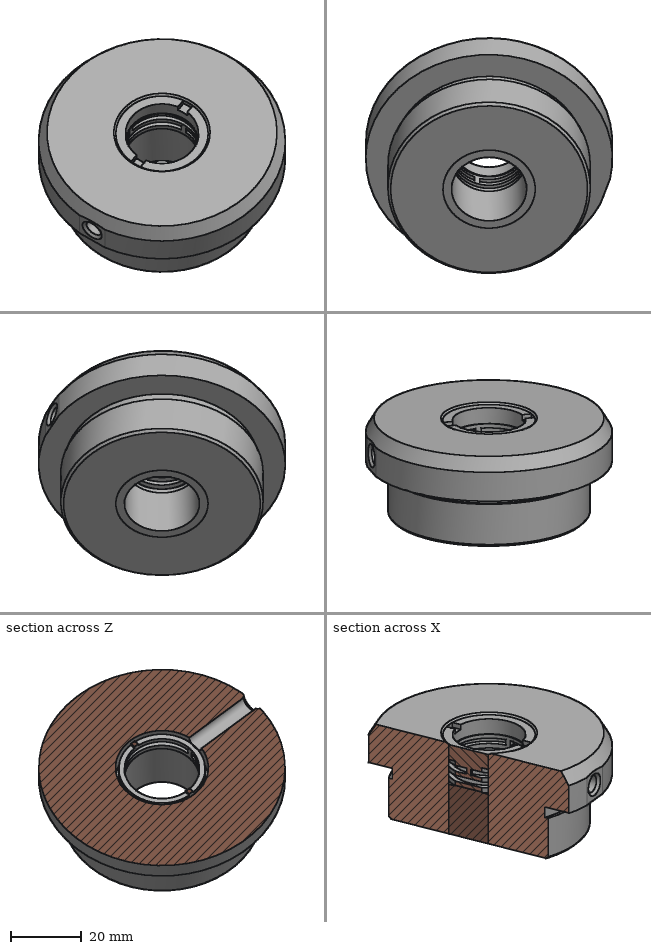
import cadquery as cq

total_height = 28.6
flange_radius = 34.9
flange_thickness = 12.6
flange_top_radius = 32.5
flange_chamfer_height = 4.0
neck_radius = 27.6
neck_height = 3.15
spigot_radius = 28.6
spigot_chamfer = 0.8
flat_distance = 34.6

seat_radius = 13.05
seat_chamfer = 0.55

access_radius = 2.5
access_mouth_radius = 3.35
access_depth_below_top = 7.9

collar_bore_radius = 10.3
collar_height = 4.8
spring_nut_height = 12.4
spring_outer_radius = 12.2
spring_bore_radius = 10.6
slit_height = 1.7
slit_spacing = 3.1
first_slit_depth = 6.15
bridge_width = 1.5
key_slot_width = 3.2
key_slot_depth = 1.5

flange_bottom = total_height - flange_thickness
spigot_top = flange_bottom - neck_height
nut_top = total_height - seat_chamfer
nut_bottom = nut_top - spring_nut_height
collar_bottom = nut_top - collar_height


def cylinder(radius, bottom, top):
    return cq.Workplane("XY").workplane(offset=bottom).circle(radius).extrude(top - bottom)


def tube(outer_radius, inner_radius, bottom, top):
    return cylinder(outer_radius, bottom, top).cut(cylinder(inner_radius, bottom, top))


def cross_bar(width, bottom, height, along_x):
    """A bar across the whole bore, along X or Y."""
    length = 2 * seat_radius
    size_x, size_y = (length, width) if along_x else (width, length)
    return cq.Workplane("XY").box(size_x, size_y, height, centered=(True, True, False)).translate((0, 0, bottom))


def make_access_hole():
    """Radial hole from the flat into the seat bore, with a 45 degree countersink."""
    height = total_height - access_depth_below_top
    countersink = access_mouth_radius - access_radius
    profile = [
        (0, -flat_distance),
        (access_mouth_radius, -flat_distance),
        (access_radius, -flat_distance + countersink),
        (access_radius, 0),
        (0, 0),
    ]
    hole = cq.Workplane("XY").polyline(profile).close().revolve(360, (0, 0, 0), (0, 1, 0))
    return hole.translate((0, 0, height))


def make_housing():
    """Flanged housing with a neck groove, one flat and a chamfered through bore."""
    profile = [
        (seat_radius, 0),
        (spigot_radius - spigot_chamfer, 0),
        (spigot_radius, spigot_chamfer),
        (spigot_radius, spigot_top),
        (neck_radius, spigot_top),
        (neck_radius, flange_bottom),
        (flange_radius, flange_bottom),
        (flange_radius, total_height - flange_chamfer_height),
        (flange_top_radius, total_height),
        (seat_radius + seat_chamfer, total_height),
        (seat_radius, nut_top),
    ]
    body = cq.Workplane("XZ").polyline(profile).close().revolve(360, (0, 0, 0), (0, 1, 0))
    beyond_flat = cq.Workplane("XY").box(
        2 * flange_radius, flange_radius, total_height, centered=(True, False, False)
    ).translate((0, -flat_distance - flange_radius, 0))
    return body.cut(beyond_flat).cut(make_access_hole())


def make_spring_nut():
    """Collar with two key slots above a sleeve whose slits are bridged on alternate axes."""
    collar = tube(seat_radius, collar_bore_radius, collar_bottom, nut_top)
    sleeve = tube(spring_outer_radius, spring_bore_radius, nut_bottom, collar_bottom)
    nut = collar.union(sleeve)
    nut = nut.cut(cross_bar(key_slot_width, nut_top - key_slot_depth, key_slot_depth, along_x=False))
    for index, bridges_along_x in enumerate((True, False)):
        slit_top = nut_top - first_slit_depth - index * slit_spacing
        slit_bottom = slit_top - slit_height
        slit = cylinder(seat_radius, slit_bottom, slit_top)
        bridges = cross_bar(bridge_width, slit_bottom, slit_height, bridges_along_x)
        nut = nut.cut(slit.cut(bridges))
    return nut


def make_lower_bush():
    """Plain bush that fills the seat bore below the spring nut."""
    return tube(seat_radius, spring_bore_radius, 0, nut_bottom)


housing = make_housing()
spring_nut = make_spring_nut()
lower_bush = make_lower_bush()

result = cq.Compound.makeCompound([housing.val(), spring_nut.val(), lower_bush.val()])